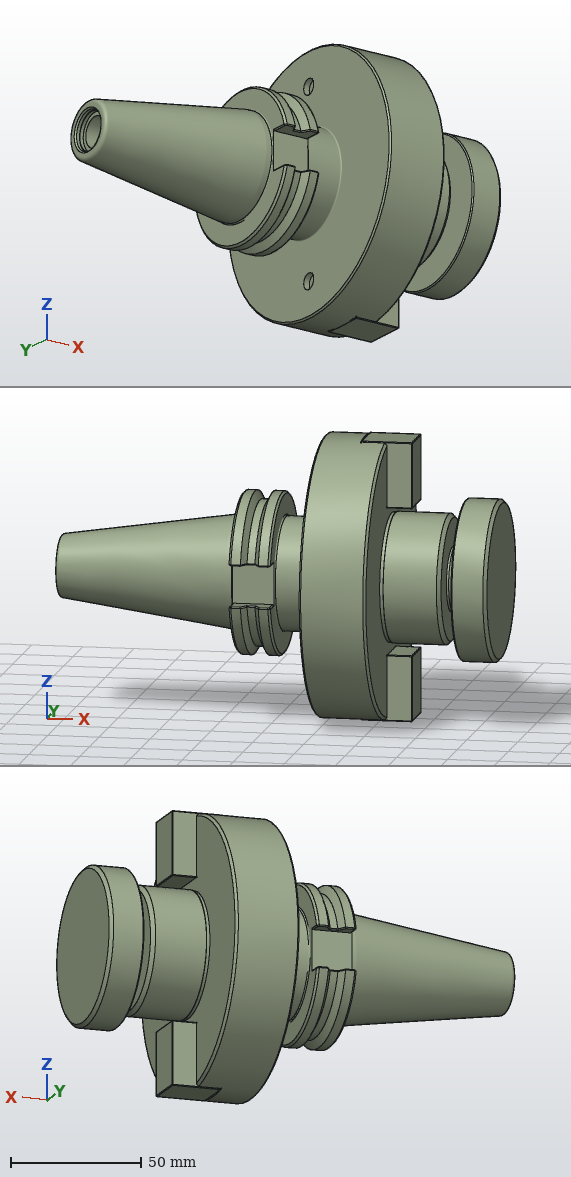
import cadquery as cq
import math


total_length = 172.2
taper_end = 68.4
flange_start = 71.3
flange_end = 87.5
disc_start = 103.4
disc_end = 129.4
pilot_end = 153.1
head_start = 158.3

neck_radius = 44.5 / 2
taper_ratio = 7 / 24
tip_radius = neck_radius - taper_end * taper_ratio / 2
tip_fillet = 1.7
neck_fillet = 0.5

mouth_radius = 18.1 / 2
mouth_depth = 0.7
entry_radius = 16.9 / 2
entry_depth = 2.0
counterbore_radius = 16.4 / 2
counterbore_depth = 3.6
bore_radius = 13.0 / 2
bore_depth = 34.5

flange_radius = 63.5 / 2
flange_chamfer = 0.9
flange_middle = (flange_start + flange_end) / 2
groove_radius = 28.5
groove_half_floor = 1.5
groove_half_mouth = groove_half_floor + (flange_radius - groove_radius) * math.tan(math.radians(30))
drive_slot_width = 16.0
drive_slot_chamfer = 0.5
near_slot_floor = 22.5
far_slot_floor = 24.6

disc_radius = 110.0 / 2
disc_back_chamfer = 0.7
disc_front_chamfer = 1.0
relief_radius = 50.3 / 2
relief_length = 1.4
pilot_radius = 50.8 / 2
pilot_chamfer = 1.5

key_start = 119.0
key_end = 139.2
key_width = 19.0
key_bottom = 28.8
key_top = 54.6
key_chamfer = 0.3
key_angles = (0, 180)
back_hole_diameter = 6.7
back_hole_depth = 2.5
back_hole_offset = 40.0

collar_radius = 25.3 / 2
collar_length = 0.9
collar_taper_length = 1.0
thread_radius = 24.0 / 2
undercut_radius = 23.5 / 2
undercut_start = 155.2
undercut_end = 157.1
head_radius = 31.5
head_back_chamfer = 0.5
head_front_chamfer = 1.4


def revolve_about_x(profile):
    """Turn a closed (x, radius) profile into a solid of revolution about the X axis."""
    return cq.Workplane("XY").polyline(profile).close().revolve(360, (0, 0, 0), (1, 0, 0))


def cylinder_along_x(start, end, radius):
    return cq.Workplane("YZ", origin=(start, 0, 0)).circle(radius).extrude(end - start)


def block(x_range, y_range, z_range):
    """Box between the given limits on each axis."""
    size = [high - low for low, high in (x_range, y_range, z_range)]
    return cq.Workplane("XY").box(*size, centered=False).translate((x_range[0], y_range[0], z_range[0]))


def make_neck_fillet(face, direction):
    """Ring, partly buried in the neck, that rounds its corner with a face looking along +X (1) or -X (-1)."""
    edge = face + direction * neck_fillet
    arc_gap = neck_fillet * (1 - math.cos(math.radians(45)))
    ring = (
        cq.Workplane("XY")
        .moveTo(edge, neck_radius)
        .threePointArc((face + direction * arc_gap, neck_radius + arc_gap), (face, neck_radius + neck_fillet))
        .lineTo(face, tip_radius)
        .lineTo(edge, tip_radius)
        .close()
    )
    return ring.revolve(360, (0, 0, 0), (1, 0, 0))


def make_taper_and_neck():
    taper = revolve_about_x([
        (0, 0),
        (0, tip_radius),
        (taper_end, neck_radius),
        (disc_start, neck_radius),
        (disc_start, 0),
    ])
    taper = taper.faces("<X").edges().fillet(tip_fillet)
    for face, direction in ((flange_start, -1), (flange_end, 1), (disc_start, -1)):
        taper = taper.union(make_neck_fillet(face, direction))
    return taper.cut(make_drive_slots())


def make_drive_slots():
    """Two opposite drive slots, long enough to cut the neck fillets as well as the flange."""
    length_range = (flange_start - neck_fillet, flange_end + neck_fillet)
    width_range = (-drive_slot_width / 2, drive_slot_width / 2)
    near_slot = block(length_range, (-flange_radius, -near_slot_floor), width_range)
    far_slot = block(length_range, (far_slot_floor, flange_radius), width_range)
    return near_slot.add(far_slot).combine()


def is_not_on_slot_floor(edge):
    tolerance = 1.72e-06
    middle = edge.Center().y
    return abs(middle + near_slot_floor) > tolerance and abs(middle - far_slot_floor) > tolerance


def make_flange():
    rim = flange_radius - flange_chamfer
    flange = revolve_about_x([
        (flange_start, 0),
        (flange_start, rim),
        (flange_start + flange_chamfer, flange_radius),
        (flange_middle - groove_half_mouth, flange_radius),
        (flange_middle - groove_half_floor, groove_radius),
        (flange_middle + groove_half_floor, groove_radius),
        (flange_middle + groove_half_mouth, flange_radius),
        (flange_end - flange_chamfer, flange_radius),
        (flange_end, rim),
        (flange_end, 0),
    ])
    flange = flange.cut(make_drive_slots())
    opening_edges = flange.faces("|Z").edges().filter(is_not_on_slot_floor)
    return flange.newObject(opening_edges.vals()).chamfer(drive_slot_chamfer)


def make_disc_and_pilot():
    relief_end = disc_end + relief_length
    return revolve_about_x([
        (disc_start, 0),
        (disc_start, disc_radius - disc_back_chamfer),
        (disc_start + disc_back_chamfer, disc_radius),
        (disc_end - disc_front_chamfer, disc_radius),
        (disc_end, disc_radius - disc_front_chamfer),
        (disc_end, relief_radius),
        (relief_end, relief_radius),
        (relief_end, pilot_radius),
        (pilot_end - pilot_chamfer, pilot_radius),
        (pilot_end, pilot_radius - pilot_chamfer),
        (pilot_end, 0),
    ])


def make_tip_bore():
    return revolve_about_x([
        (0, 0),
        (0, mouth_radius),
        (mouth_depth, entry_radius),
        (entry_depth, entry_radius),
        (entry_depth, counterbore_radius),
        (counterbore_depth, counterbore_radius),
        (counterbore_depth, bore_radius),
        (bore_depth, bore_radius),
        (bore_depth, 0),
    ])


def make_key(angle):
    """Chamfered drive key, turned about the X axis from the +Z position."""
    key = block((key_start, key_end), (-key_width / 2, key_width / 2), (key_bottom, key_top))
    return key.edges().chamfer(key_chamfer).rotate((0, 0, 0), (1, 0, 0), angle)


def make_back_hole(angle):
    """Shallow blind hole in the back of the disc, in line with a key."""
    hole = cylinder_along_x(disc_start, disc_start + back_hole_depth, back_hole_diameter / 2)
    return hole.translate((0, 0, back_hole_offset)).rotate((0, 0, 0), (1, 0, 0), angle)


def make_key_seat(angle):
    """Open slot for a key, running out through the front and the rim of the disc."""
    seat = block((key_start, disc_end), (-key_width / 2, key_width / 2), (key_bottom, disc_radius))
    return seat.rotate((0, 0, 0), (1, 0, 0), angle)


def make_arbor():
    arbor = make_taper_and_neck().union(make_flange()).union(make_disc_and_pilot())
    arbor = arbor.cut(make_tip_bore())
    arbor = arbor.cut(cylinder_along_x(disc_end, pilot_end, thread_radius))
    for angle in key_angles:
        arbor = arbor.cut(make_key_seat(angle)).cut(make_back_hole(angle))
    return arbor


def make_clamping_screw():
    """Screw whose threaded shank fills the hole in the pilot."""
    collar_end = pilot_end + collar_length
    return revolve_about_x([
        (disc_end, 0),
        (disc_end, thread_radius),
        (pilot_end, thread_radius),
        (pilot_end, collar_radius),
        (collar_end, collar_radius),
        (collar_end + collar_taper_length, thread_radius),
        (undercut_start, undercut_radius),
        (undercut_end, undercut_radius),
        (head_start, collar_radius),
        (head_start, head_radius - head_back_chamfer),
        (head_start + head_back_chamfer, head_radius),
        (total_length - head_front_chamfer, head_radius),
        (total_length, head_radius - head_front_chamfer),
        (total_length, 0),
    ])


arbor = make_arbor()
keys = [make_key(angle) for angle in key_angles]
clamping_screw = make_clamping_screw()

result = cq.Compound.makeCompound([
    arbor.val(),
    *[key.val() for key in keys],
    clamping_screw.val(),
])